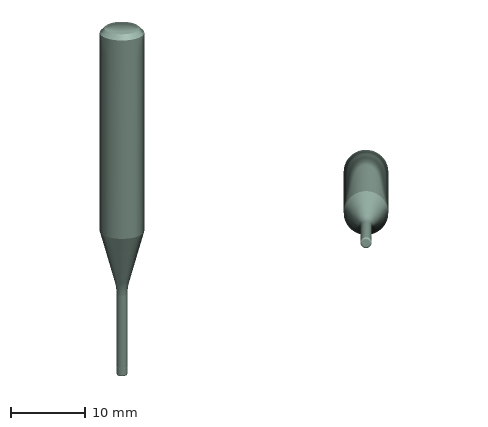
import cadquery as cq
import math

total_length = 50.0
shank_radius = 3.0
shank_chamfer = 0.65
shank_bottom = 20.75

cutter_radius = 0.75
cutter_length = 1.2
corner_radius = 0.25

neck_diameter = 1.45
neck_radius = neck_diameter / 2
neck_top = 11.65
blend_height = 1.75

blend_top = neck_top + blend_height
cone_height = shank_bottom - blend_top
radius_gain = shank_radius - neck_radius
solver_steps = 20


def cone_half_angle():
    """Cone angle from the axis that joins the blend to the shank tangentially.

    With t = tan(angle / 2), the total gain in radius is
    blend_height * t + cone_height * 2t / (1 - t^2), solved here for t
    by repeated substitution.
    """
    half_tangent = 0.0
    for _ in range(solver_steps):
        half_tangent = radius_gain / (blend_height + 2 * cone_height / (1 - half_tangent**2))
    return 2 * math.atan(half_tangent)


cone_angle = cone_half_angle()
blend_radius = blend_height / math.sin(cone_angle)


def blend_point(angle):
    """Point on the blend arc where its tangent leans by the given angle."""
    radius = neck_radius + blend_radius * (1 - math.cos(angle))
    return radius, neck_top + blend_radius * math.sin(angle)


def revolve_about_z(profile):
    return profile.close().revolve(360, (0, 0, 0), (0, 1, 0))


def make_holder():
    """Chamfered shank, cone, blend and slim neck."""
    profile = (
        cq.Workplane("XZ")
        .moveTo(0, cutter_length)
        .lineTo(neck_radius, cutter_length)
        .lineTo(neck_radius, neck_top)
        .threePointArc(blend_point(cone_angle / 2), blend_point(cone_angle))
        .lineTo(shank_radius, shank_bottom)
        .lineTo(shank_radius, total_length - shank_chamfer)
        .lineTo(shank_radius - shank_chamfer, total_length)
        .lineTo(0, total_length)
    )
    return revolve_about_z(profile)


def make_cutter():
    """Cylindrical cutting tip with a rounded lower corner."""
    tip = cq.Workplane("XY").circle(cutter_radius).extrude(cutter_length)
    return tip.faces("<Z").edges().fillet(corner_radius)


holder = make_holder()
cutter = make_cutter()

result = cq.Compound.makeCompound([holder.val(), cutter.val()])